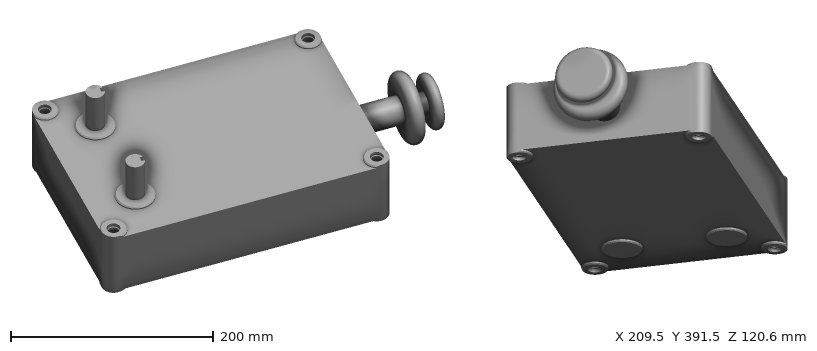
import cadquery as cq

body_width = 209.5
body_length = 305.0
body_height = 71.0
corner_radius = 12.5

pad_height = 2.55
pad_chamfer = 1.0
corner_pad_radius = 13.7
shaft_pad_radius = 20.5

hole_diameter = 11.0
counterbore_diameter = 13.7
counterbore_depth = 4.0

shaft_spacing = 107.5
shaft_front_offset = 51.0
shaft_diameter = 19.0
shaft_length = 44.5
key_width = 5.5
key_depth = 4.0
key_foot = 6.0

spindle_diameter = 30.0
spindle_length = 47.8
flange_diameter = 76.0
flange_thickness = 15.5
neck_diameter = 23.0
neck_length = 11.7
knob_diameter = 58.7
knob_thickness = 11.5

pad_top = body_height / 2 + pad_height
rear_y = body_length / 2
shaft_y = shaft_front_offset - body_length / 2
shaft_points = [(-shaft_spacing / 2, shaft_y), (shaft_spacing / 2, shaft_y)]
hole_x = body_width / 2 - corner_radius
hole_y = body_length / 2 - corner_radius
hole_points = [(x, y) for x in (-hole_x, hole_x) for y in (-hole_y, hole_y)]


def rounded_block(height):
    """Block with the body's outline, centred on the origin."""
    block = cq.Workplane("XY").box(body_width, body_length, height)
    return block.edges("|Z").fillet(corner_radius)


def vertical_revolve(points, outline):
    """Revolve a radius-height outline about Z and copy it to each point."""
    solid = cq.Workplane("XZ").polyline(outline).close().revolve(360, (0, 0), (0, 1))
    return cq.Workplane("XY").pushPoints(points).eachpoint(lambda place: solid.val().moved(place))


def pads(points, pad_radius):
    """Chamfered round pads that stand out equally above and below the body."""
    outline = [
        (0, -pad_top),
        (pad_radius - pad_chamfer, -pad_top),
        (pad_radius, pad_chamfer - pad_top),
        (pad_radius, pad_top - pad_chamfer),
        (pad_radius - pad_chamfer, pad_top),
        (0, pad_top),
    ]
    return vertical_revolve(points, outline)


def mounting_holes():
    """Through holes with a shallow counterbore at both ends."""
    radius = hole_diameter / 2
    mouth_radius = counterbore_diameter / 2
    floor_z = pad_top - counterbore_depth
    outline = [
        (0, -pad_top),
        (mouth_radius, -pad_top),
        (mouth_radius, -floor_z),
        (radius, -floor_z),
        (radius, floor_z),
        (mouth_radius, floor_z),
        (mouth_radius, pad_top),
        (0, pad_top),
    ]
    return vertical_revolve(hole_points, outline)


def keyed_shafts():
    """Vertical shafts, each with a keyway open at the top and round at its foot."""
    shaft_base = cq.Workplane("XY").workplane(offset=pad_top).pushPoints(shaft_points)
    shafts = shaft_base.circle(shaft_diameter / 2).extrude(shaft_length)
    floor_y = shaft_y + shaft_diameter / 2 - key_depth
    shaft_top = pad_top + shaft_length
    foot_z = pad_top + key_foot
    for x, _ in shaft_points:
        keyway = (
            cq.Workplane(cq.Plane(origin=(x, floor_y, 0), xDir=(1, 0, 0), normal=(0, -1, 0)))
            .moveTo(-key_width / 2, shaft_top)
            .lineTo(-key_width / 2, foot_z + key_width / 2)
            .threePointArc((0, foot_z), (key_width / 2, foot_z + key_width / 2))
            .lineTo(key_width / 2, shaft_top)
            .close()
            .extrude(-shaft_diameter)
        )
        shafts = shafts.cut(keyway)
    return shafts


def rear_disc(start_y, diameter, thickness):
    """Cylinder along Y that starts at start_y."""
    plane = cq.Plane(origin=(0, start_y, 0), xDir=(1, 0, 0), normal=(0, 1, 0))
    return cq.Workplane(plane).circle(diameter / 2).extrude(thickness)


def round_rim_disc(start_y, diameter, thickness):
    """Disc along Y whose rim is a full half round."""
    flat_radius = (diameter - thickness) / 2
    return (
        cq.Workplane("XY")
        .moveTo(0, start_y)
        .lineTo(flat_radius, start_y)
        .threePointArc((diameter / 2, start_y + thickness / 2), (flat_radius, start_y + thickness))
        .lineTo(0, start_y + thickness)
        .close()
        .revolve(360, (0, 0), (0, 1))
    )


def rear_spindle():
    """Spindle, flange, neck and knob stacked out from the rear face."""
    flange_y = rear_y + spindle_length
    neck_y = flange_y + flange_thickness
    knob_y = neck_y + neck_length
    spindle = rear_disc(rear_y, spindle_diameter, spindle_length)
    flange = round_rim_disc(flange_y, flange_diameter, flange_thickness)
    neck = rear_disc(neck_y, neck_diameter, neck_length)
    knob = round_rim_disc(knob_y, knob_diameter, knob_thickness)
    return spindle.union(flange).union(neck).union(knob)


corner_pads = pads(hole_points, corner_pad_radius).intersect(rounded_block(2 * pad_top))
result = rounded_block(body_height).union(corner_pads).union(pads(shaft_points, shaft_pad_radius))
result = result.union(keyed_shafts()).union(rear_spindle()).cut(mounting_holes())